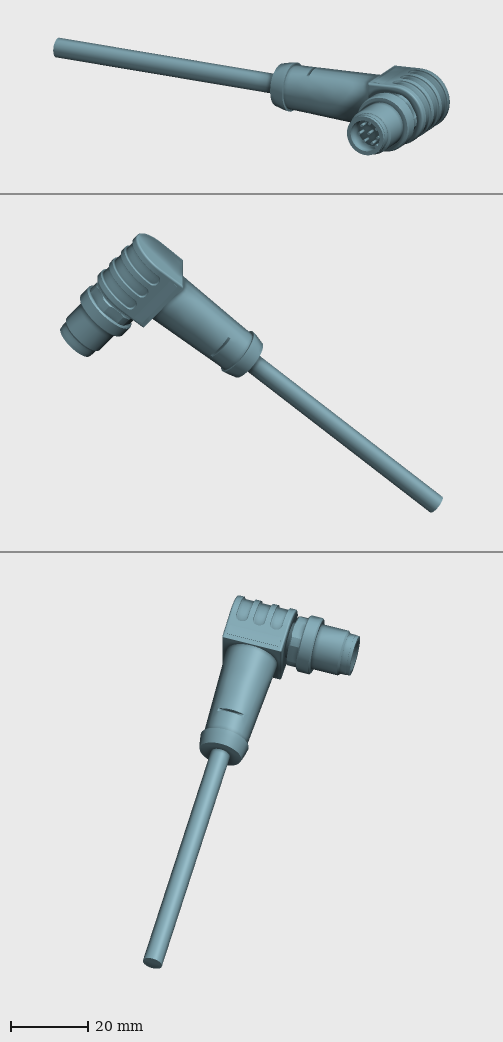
import cadquery as cq
import math

TOTAL_LENGTH = 109.7

HOUSING_RADIUS = 8.0
HOUSING_LENGTH = 16.0
HOUSING_FACE_HALF_HEIGHT = 7.6
HOUSING_WIDTH = 16.0
HOUSING_FILLET = 0.5
PLUG_X = TOTAL_LENGTH - HOUSING_RADIUS
HOUSING_FACE_X = TOTAL_LENGTH - HOUSING_LENGTH
FACE_Y = -HOUSING_WIDTH / 2

GRIP_COUNT = 3
GRIP_PITCH = 4.6
GRIP_WIDTH = 3.2
GRIP_DEPTH = 0.5
GRIP_START_X = 99.4
GRIP_CORNER_RADIUS = 1.4
GRIP_FLOOR_FILLET = 0.3

LABEL_START_X = 94.9
LABEL_LENGTH = 3.4
LABEL_WIDTH = 13.9
LABEL_HALF_HEIGHT = 7.8

CABLE_DIAMETER = 5.2
COLLAR_START_X = 64.3
COLLAR_END_X = 68.2
COLLAR_START_RADIUS = 5.6
COLLAR_MIDDLE_RADIUS = 6.1
COLLAR_END_RADIUS = 6.5
SLEEVE_START_RADIUS = 5.8
SLEEVE_END_RADIUS = 6.9
SLOT_X = 73.7
SLOT_WIDTH = 0.8
SLOT_FLOOR = 4.9

NECK_DIAMETER = 9.3
HEX_START = 1.0
HEX_END = 3.7
HEX_ACROSS_FLATS = 12.9
HEX_CORNER_DIAMETER = 13.8
HEX_CHAMFER = 0.3
RING_END = 7.3
RING_DIAMETER = 15.0
RING_CHAMFER = 0.3
BARREL_END = 14.9
BARREL_CHAMFER = 0.5
BARREL_DIAMETER = 12.0
TIP_STEP = 16.6
TIP_DIAMETER = 10.7
PLUG_LENGTH = 17.4
END_DIAMETER = 10.5

BORE_DIAMETER = 8.3
BORE_DEPTH = 4.4
PIN_DIAMETER = 0.8
PIN_LENGTH = 2.4
PIN_CIRCLE_RADIUS = 2.7
OUTER_PIN_COUNT = 7
FIRST_PIN_ANGLE = 86.0

KEY_DIAMETER = 0.85
KEY_CENTER_RADIUS = 3.8
KEY_ANGLE = -48.0
KEY_LENGTH = 3.3


def plug_plane(distance):
    """Plane across the plug axis, facing outward, at a distance from the housing face."""
    return cq.Workplane("XZ", origin=(PLUG_X, FACE_Y - distance, 0))


def plug_cylinder(diameter, start, end):
    return plug_plane(start).circle(diameter / 2).extrude(end - start)


def housing_outline(inset):
    """Wedge that runs into a half round, shrunk evenly by an inset."""
    height = HOUSING_FACE_HALF_HEIGHT - inset
    radius = HOUSING_RADIUS - inset
    corner_x = PLUG_X - HOUSING_FACE_X
    corner_distance = math.hypot(corner_x, height)
    tangent_angle = math.atan2(corner_x, height) - math.acos(radius / corner_distance)
    tangent_x = PLUG_X - radius * math.sin(tangent_angle)
    tangent_z = radius * math.cos(tangent_angle)
    return (
        cq.Workplane("XZ", origin=(0, HOUSING_WIDTH / 2, 0))
        .moveTo(HOUSING_FACE_X, -height)
        .lineTo(tangent_x, -tangent_z)
        .threePointArc((PLUG_X + radius, 0), (tangent_x, tangent_z))
        .lineTo(HOUSING_FACE_X, height)
        .close()
    )


def grip_recesses():
    """Shallow rounded channels wrapped around the back of the housing."""
    length = 2 * (TOTAL_LENGTH - GRIP_START_X)
    centers = [(TOTAL_LENGTH, (i - (GRIP_COUNT - 1) / 2) * GRIP_PITCH) for i in range(GRIP_COUNT)]
    channels = (
        cq.Workplane("XY", origin=(0, 0, -HOUSING_WIDTH))
        .pushPoints(centers)
        .rect(length, GRIP_WIDTH)
        .extrude(2 * HOUSING_WIDTH)
        .edges("|Z")
        .fillet(GRIP_CORNER_RADIUS)
    )
    recesses = channels.cut(housing_outline(GRIP_DEPTH).extrude(HOUSING_WIDTH))
    floor_region = cq.selectors.BoxSelector(
        (0, -HOUSING_WIDTH, -HOUSING_RADIUS), (TOTAL_LENGTH, HOUSING_WIDTH, HOUSING_RADIUS)
    )
    return recesses.edges(floor_region).fillet(GRIP_FLOOR_FILLET)


def make_housing():
    body = housing_outline(0).extrude(HOUSING_WIDTH)
    body = body.faces("<Y or >Y").edges().fillet(HOUSING_FILLET)
    labels = cq.Workplane("XY").box(LABEL_LENGTH, LABEL_WIDTH, 2 * LABEL_HALF_HEIGHT)
    labels = labels.translate((LABEL_START_X + LABEL_LENGTH / 2, 0, 0))
    return body.cut(grip_recesses()).union(labels)


def make_cable_and_sleeve():
    """Turned profile about X, ending inside the housing, with two cross slots."""
    collar_middle_x = (COLLAR_START_X + COLLAR_END_X) / 2
    turned = (
        cq.Workplane("XY")
        .lineTo(0, CABLE_DIAMETER / 2)
        .lineTo(COLLAR_START_X, CABLE_DIAMETER / 2)
        .lineTo(COLLAR_START_X, COLLAR_START_RADIUS)
        .threePointArc((collar_middle_x, COLLAR_MIDDLE_RADIUS), (COLLAR_END_X, COLLAR_END_RADIUS))
        .lineTo(COLLAR_END_X, SLEEVE_START_RADIUS)
        .lineTo(HOUSING_FACE_X, SLEEVE_END_RADIUS)
        .lineTo(PLUG_X, SLEEVE_END_RADIUS)
        .lineTo(PLUG_X, 0)
        .close()
        .revolve(360, (0, 0, 0), (1, 0, 0))
    )
    slot_depth = SLEEVE_END_RADIUS - SLOT_FLOOR
    slot = cq.Workplane("XY").box(SLOT_WIDTH, 2 * SLEEVE_END_RADIUS, slot_depth)
    slot_center_x = SLOT_X + SLOT_WIDTH / 2
    for side in (-1, 1):
        turned = turned.cut(slot.translate((slot_center_x, 0, side * (SLOT_FLOOR + slot_depth / 2))))
    return turned


def make_plug():
    hex_corner_circle = HEX_ACROSS_FLATS / math.cos(math.pi / 6)
    hexagon = plug_plane(HEX_START).polygon(6, hex_corner_circle).extrude(HEX_END - HEX_START)
    corner_limit = plug_cylinder(HEX_CORNER_DIAMETER, HEX_START, HEX_END)
    hexagon = hexagon.intersect(corner_limit.faces(">Y").chamfer(HEX_CHAMFER))
    ring = plug_cylinder(RING_DIAMETER, HEX_END, RING_END).edges().chamfer(RING_CHAMFER)
    barrel = plug_cylinder(BARREL_DIAMETER, RING_END, BARREL_END).faces("<Y").chamfer(BARREL_CHAMFER)
    plug = (
        plug_cylinder(NECK_DIAMETER, -HOUSING_FILLET, HEX_START)
        .union(hexagon)
        .union(ring)
        .union(barrel)
        .union(plug_cylinder(TIP_DIAMETER, BARREL_END, TIP_STEP))
        .union(plug_cylinder(END_DIAMETER, TIP_STEP, PLUG_LENGTH))
    )
    bore_floor = PLUG_LENGTH - BORE_DEPTH
    plug = plug.cut(plug_cylinder(BORE_DIAMETER, bore_floor, PLUG_LENGTH))
    pins = (
        plug_plane(bore_floor)
        .polarArray(PIN_CIRCLE_RADIUS, FIRST_PIN_ANGLE, 360, OUTER_PIN_COUNT)
        .circle(PIN_DIAMETER / 2)
        .extrude(PIN_LENGTH)
    )
    center_pin = plug_cylinder(PIN_DIAMETER, bore_floor, bore_floor + PIN_LENGTH)
    key = (
        plug_plane(bore_floor)
        .polarArray(KEY_CENTER_RADIUS, KEY_ANGLE, 360, 1)
        .circle(KEY_DIAMETER / 2)
        .extrude(KEY_LENGTH)
    )
    return plug.union(pins).union(center_pin).union(key)


result = make_housing().union(make_cable_and_sleeve()).union(make_plug())